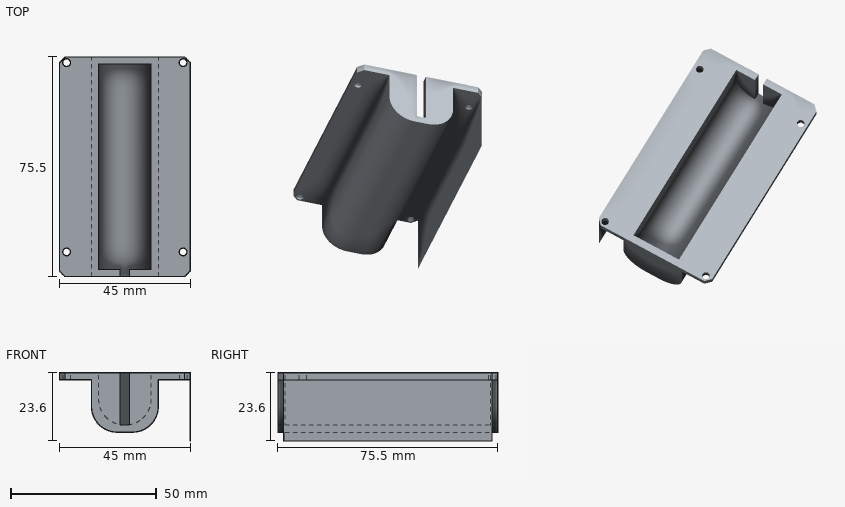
import cadquery as cq

plate_width = 45.0
plate_length = 75.45
wall = 2.5
corner_chamfer = 1.95

trough_width = 23.0
trough_depth = 20.5
cavity_depth = trough_depth - wall
cavity_width = 18.0
bottom_radius = 8.9

slot_width = 3.25

skirt_depth = 23.55
skirt_thickness = 0.1
skirt_length = plate_length - 2 * corner_chamfer

hole_diameter = 2.6
hole_side_inset = 2.5
hole_back_inset = 1.95
hole_front_inset = 8.5


def hanging_box(width, length, depth):
    """Box centred on X and Y, reaching down from Z = 0."""
    return cq.Workplane("XY").box(width, length, depth, centered=(True, True, False)).translate((0, 0, -depth))


def round_bottom_bar(width, length, depth):
    """Hanging box with its two long lower edges rounded."""
    return hanging_box(width, length, depth).edges("|Y and <Z").fillet(bottom_radius)


plate = hanging_box(plate_width, plate_length, wall).edges("|Z").chamfer(corner_chamfer)
body = plate.union(round_bottom_bar(trough_width, plate_length, trough_depth))

skirt_x = (plate_width - skirt_thickness) / 2
skirt = hanging_box(skirt_thickness, skirt_length, skirt_depth).translate((skirt_x, 0, 0))
body = body.union(skirt)

cavity = round_bottom_bar(cavity_width, plate_length - 2 * wall, cavity_depth)

slot_window = hanging_box(slot_width, plate_length / 2, trough_depth).translate((0, -plate_length / 4, 0))
slot = round_bottom_bar(cavity_width, plate_length, cavity_depth).intersect(slot_window)
body = body.cut(cavity).cut(slot)

hole_x = plate_width / 2 - hole_side_inset
hole_back_y = plate_length / 2 - hole_back_inset
hole_front_y = hole_front_inset - plate_length / 2
hole_centres = [(x, y) for x in (-hole_x, hole_x) for y in (hole_front_y, hole_back_y)]
holes = cq.Workplane("XY").pushPoints(hole_centres).circle(hole_diameter / 2).extrude(-wall)

result = body.cut(holes)